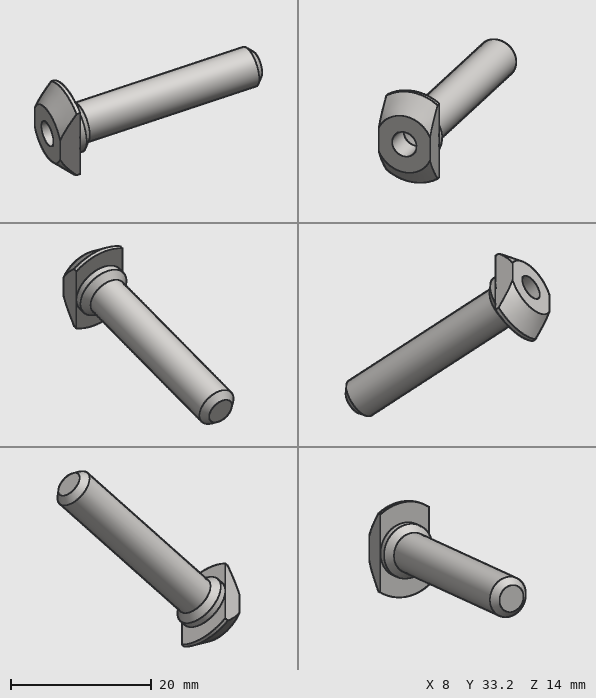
import cadquery as cq
import math

total_length = 33.2
head_diameter = 14.0
head_width = 8.0

head_thickness = 3.22
rim_thickness = 0.6
head_radius = head_diameter / 2
head_cone_length = head_thickness - rim_thickness
face_radius = head_radius - head_cone_length

collar_radius = head_width / 2
collar_length = 1.0
shank_radius = 5.95 / 2
collar_cone_length = collar_radius - shank_radius
tip_chamfer = 1.0

hole_radius = 3.8 / 2
hole_depth = 4.0
drill_point_angle = 118.0
drill_point_length = hole_radius / math.tan(math.radians(drill_point_angle / 2))

collar_end = head_thickness + collar_length


def revolve_about_y(profile):
    """Revolve a closed (radius, y) profile about the Y axis."""
    return cq.Workplane("XY").polyline(profile).close().revolve(360, (0, 0, 0), (0, 1, 0))


head = revolve_about_y([
    (0, 0),
    (face_radius, 0),
    (head_radius, head_cone_length),
    (head_radius, head_thickness),
    (0, head_thickness),
])
flat_sides = cq.Workplane("XY").box(head_width, 2 * head_thickness, head_diameter)
head = head.intersect(flat_sides)

stem = revolve_about_y([
    (0, head_thickness),
    (collar_radius, head_thickness),
    (collar_radius, collar_end),
    (shank_radius, collar_end + collar_cone_length),
    (shank_radius, total_length - tip_chamfer),
    (shank_radius - tip_chamfer, total_length),
    (0, total_length),
])

hole = revolve_about_y([
    (0, 0),
    (hole_radius, 0),
    (hole_radius, hole_depth),
    (0, hole_depth + drill_point_length),
])

result = head.union(stem).cut(hole)